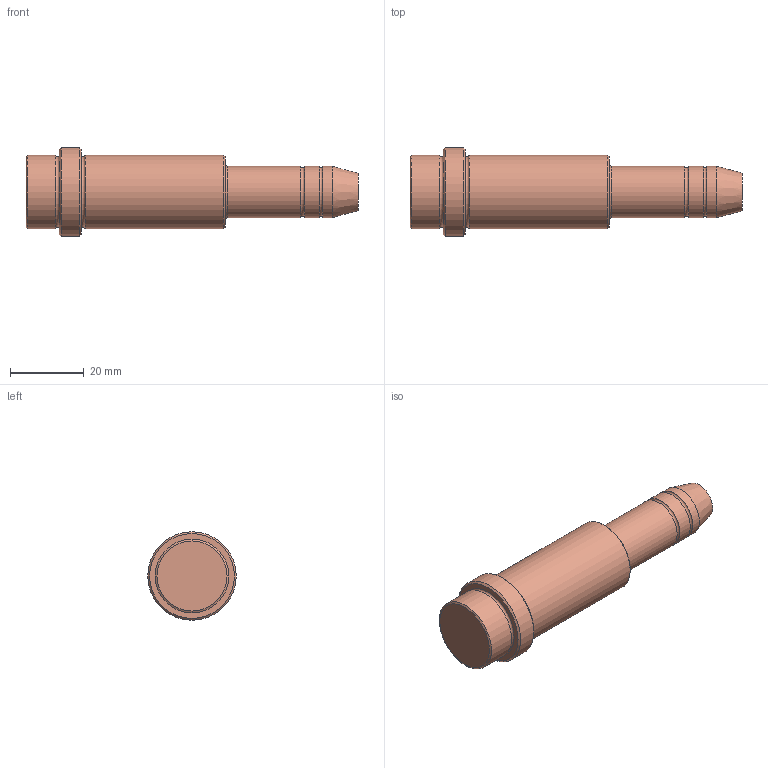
import cadquery as cq
import math

total_length = 90.0
body_diameter = 20.0
flange_diameter = 24.0
stem_diameter = 14.0
tip_taper_angle = 15.0

flange_start = 9.0
flange_end = 15.0
body_end = 54.0
taper_start = 83.0

edge_chamfer = 0.5
end_chamfer_length = 0.3
stem_root_fillet = 0.5

groove_radius = 0.5
stem_groove_centers = (75.0, 80.0)


def cylinder(start, end, diameter):
    """Cylinder about the X axis between two positions."""
    return cq.Workplane("YZ").workplane(offset=start).circle(diameter / 2).extrude(end - start)


def make_body():
    """Main barrel with both end edges broken."""
    barrel = cylinder(0, body_end, body_diameter)
    barrel = barrel.faces(">X").chamfer(edge_chamfer)
    return barrel.faces("<X").chamfer(end_chamfer_length, edge_chamfer)


def make_flange():
    """Collar with chamfered rims."""
    return cylinder(flange_start, flange_end, flange_diameter).edges().chamfer(edge_chamfer)


def make_stem():
    """Hose stem with a root fillet and a conical tip."""
    stem_radius = stem_diameter / 2
    tip_radius = stem_radius - (total_length - taper_start) * math.tan(math.radians(tip_taper_angle))
    profile = (
        cq.Workplane("XY")
        .moveTo(body_end, 0)
        .lineTo(body_end, stem_radius + stem_root_fillet)
        .radiusArc((body_end + stem_root_fillet, stem_radius), -stem_root_fillet)
        .lineTo(taper_start, stem_radius)
        .lineTo(total_length, tip_radius)
        .lineTo(total_length, 0)
        .close()
    )
    return profile.revolve(360, (0, 0, 0), (1, 0, 0))


def make_groove_cutter(center, diameter):
    """Torus about the X axis that cuts a half-round groove into a cylinder."""
    section = cq.Workplane("XY").center(center, diameter / 2).circle(groove_radius)
    axis_start = (0, -diameter / 2, 0)
    axis_end = (1, -diameter / 2, 0)
    return section.revolve(360, axis_start, axis_end)


body = make_body()
for relief_center in (flange_start - groove_radius, flange_end + groove_radius):
    body = body.cut(make_groove_cutter(relief_center, body_diameter))

stem = make_stem()
for groove_center in stem_groove_centers:
    stem = stem.cut(make_groove_cutter(groove_center, stem_diameter))

result = body.union(make_flange()).union(stem)